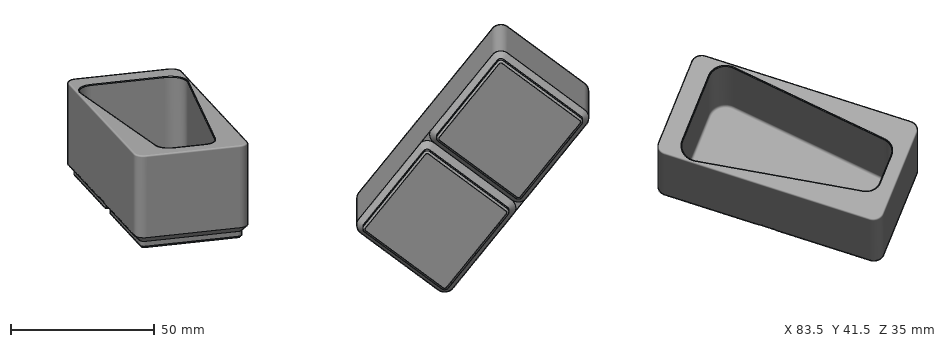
import cadquery as cq

length = 83.5
width = 41.5
height = 35.0
corner_radius = 3.75
top_edge_round = 0.6

cell_count = 2
cell_pitch = 42.0
foot_width = 37.2
foot_corner_radius = 1.6
foot_bottom_chamfer = 0.8
flare_start_z = 2.6

flare = (cell_pitch - foot_width) / 2
foot_height = flare_start_z + flare

pocket_wide_x = -34.0
pocket_narrow_x = 36.15
pocket_wide_width = 40.9
pocket_narrow_width = 20.2
pocket_wide_radius = 6.0
pocket_narrow_radius = 5.0
pocket_floor_z = 5.4
pocket_floor_round = 1.0
pocket_rim_chamfer = 0.3


def rounded_box(size_x, size_y, z_bottom, z_top, radius):
    """Upright box centred on the Z axis with rounded vertical edges."""
    return (
        cq.Workplane("XY")
        .workplane(offset=z_bottom)
        .rect(size_x, size_y)
        .extrude(z_top - z_bottom)
        .edges("|Z")
        .fillet(radius)
    )


def make_foot():
    """One foot: chamfered bottom, straight band, then a 45 degree flare up to the cell size."""
    base = rounded_box(foot_width, foot_width, 0, flare_start_z, foot_corner_radius)
    base = base.faces("<Z").chamfer(foot_bottom_chamfer)

    cell_block_top = foot_height + flare
    cell_radius = foot_corner_radius + flare
    cell_block = rounded_box(cell_pitch, cell_pitch, flare_start_z, cell_block_top, cell_radius)
    return base.union(cell_block.faces("<Z").chamfer(flare))


def make_pocket():
    """Tapered pocket volume with rounded corners and a rounded floor edge."""
    half_wide = pocket_wide_width / 2
    half_narrow = pocket_narrow_width / 2
    outline = [
        (pocket_wide_x, -half_wide),
        (pocket_narrow_x, -half_narrow),
        (pocket_narrow_x, half_narrow),
        (pocket_wide_x, half_wide),
    ]
    return (
        cq.Workplane("XY")
        .workplane(offset=pocket_floor_z)
        .polyline(outline)
        .close()
        .extrude(height - pocket_floor_z)
        .edges("|Z and <X")
        .fillet(pocket_wide_radius)
        .edges("|Z and >X")
        .fillet(pocket_narrow_radius)
        .faces("<Z")
        .edges()
        .fillet(pocket_floor_round)
    )


body = rounded_box(length, width, foot_height, height, corner_radius)
for index in range(cell_count):
    foot_x = (index - (cell_count - 1) / 2) * cell_pitch
    body = body.union(make_foot().translate((foot_x, 0, 0)))

envelope = rounded_box(length, width, 0, height, corner_radius)
envelope = envelope.faces(">Z").edges().fillet(top_edge_round)
body = body.intersect(envelope)

body = body.cut(make_pocket())
pocket_rim = body.faces(">Z").wires(cq.selectors.LengthNthSelector(0)).edges()
result = pocket_rim.chamfer(pocket_rim_chamfer)